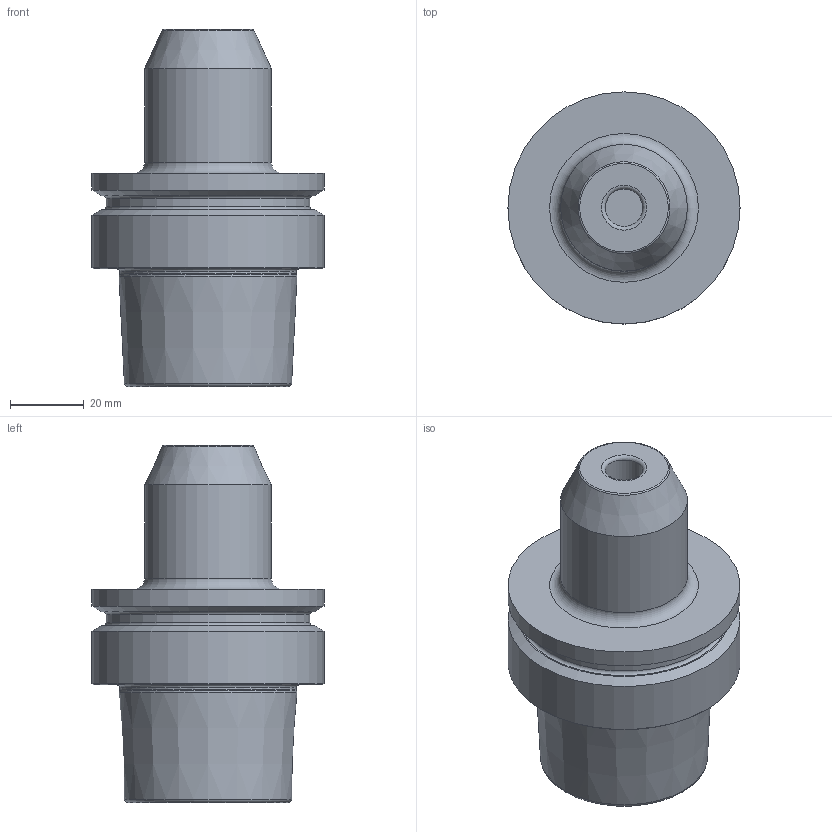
import cadquery as cq
import math

shank_length = 31.9
flange_height = 26.0
projection_length = 65.0
flange_top = shank_length + flange_height
total_length = shank_length + projection_length

shank_top_diameter = 48.3
shank_taper = 0.1
shank_tip_fillet = 1.0

neck_diameter = 47.9
neck_length = 2.1
neck_flare_height = 0.75
neck_flare_fillet = 1.0
neck_root_fillet = 0.6
corner_tolerance = 0.01

flange_diameter = 63.0
flange_bottom_chamfer = 0.3
groove_floor_diameter = 55.3
groove_center = shank_length + 18.0
groove_mouth_width = 6.8
groove_floor_width = 3.8
groove_flank_angle = 30.0
groove_fillet = 0.85

nose_diameter = 34.4
nose_tip_diameter = 24.7
nose_cone_height = 10.7
nose_root_fillet = 3.0
nose_tip_fillet = 0.5

bore_diameter = 10.2
bore_depth = total_length - flange_top
bore_mouth_fillet = 1.0


def make_shank():
    """Taper shank with a rounded tip, topped by a flare and a neck up to the flange."""
    taper_top = shank_length - neck_length
    flare_top = taper_top + neck_flare_height
    top_radius = shank_top_diameter / 2
    tip_radius = top_radius - shank_taper * taper_top / 2
    neck_radius = neck_diameter / 2
    shank = (
        cq.Workplane("XZ")
        .lineTo(tip_radius, 0)
        .lineTo(top_radius, taper_top)
        .lineTo(neck_radius, flare_top)
        .lineTo(neck_radius, shank_length - neck_root_fillet)
        .radiusArc((neck_radius + neck_root_fillet, shank_length), neck_root_fillet)
        .lineTo(0, shank_length)
        .close()
        .revolve(360, (0, 0, 0), (0, 1, 0))
    )
    flare_corner = cq.selectors.BoxSelector(
        (-top_radius, -top_radius, flare_top - corner_tolerance),
        (top_radius, top_radius, flare_top + corner_tolerance),
    )
    shank = shank.edges("%CIRCLE").edges(flare_corner).fillet(neck_flare_fillet)
    return shank.faces("<Z").edges().fillet(shank_tip_fillet)


def make_flange():
    """Flange disc with a chamfered lower rim."""
    flange = cq.Workplane("XY", origin=(0, 0, shank_length)).circle(flange_diameter / 2).extrude(flange_height)
    return flange.faces("<Z").edges().chamfer(flange_bottom_chamfer)


def make_groove_ring():
    """Ring removed by the gripper groove: sloped flanks, flat shoulders and rounded floor corners."""
    rim_radius = flange_diameter / 2
    floor_radius = groove_floor_diameter / 2
    half_mouth = groove_mouth_width / 2
    half_floor = groove_floor_width / 2
    shoulder_radius = rim_radius - (half_mouth - half_floor) / math.tan(math.radians(groove_flank_angle))
    ring = (
        cq.Workplane("XZ")
        .moveTo(rim_radius, groove_center - half_mouth)
        .lineTo(shoulder_radius, groove_center - half_floor)
        .lineTo(floor_radius, groove_center - half_floor)
        .lineTo(floor_radius, groove_center + half_floor)
        .lineTo(shoulder_radius, groove_center + half_floor)
        .lineTo(rim_radius, groove_center + half_mouth)
        .close()
        .revolve(360, (0, 0, 0), (0, 1, 0))
    )
    floor_corners = cq.selectors.RadiusNthSelector(0)
    return ring.edges("%CIRCLE").edges(floor_corners).fillet(groove_fillet)


def make_nose():
    """Cylindrical nose with a conical end and a concave fillet onto the flange."""
    radius = nose_diameter / 2
    cone_start = total_length - nose_cone_height
    fillet_quarter = nose_root_fillet * (1 - math.sqrt(0.5))
    nose = (
        cq.Workplane("XZ")
        .moveTo(0, flange_top)
        .lineTo(radius + nose_root_fillet, flange_top)
        .threePointArc(
            (radius + fillet_quarter, flange_top + fillet_quarter),
            (radius, flange_top + nose_root_fillet),
        )
        .lineTo(radius, cone_start)
        .lineTo(nose_tip_diameter / 2, total_length)
        .lineTo(0, total_length)
        .close()
        .revolve(360, (0, 0, 0), (0, 1, 0))
    )
    return nose.faces(">Z").edges().fillet(nose_tip_fillet)


def cut_bore(body):
    """Blind bore from the nose face, with a rounded mouth."""
    bore = cq.Workplane("XY", origin=(0, 0, total_length)).circle(bore_diameter / 2).extrude(-bore_depth)
    mouth = cq.selectors.RadiusNthSelector(0)
    return body.cut(bore).faces(">Z").edges(mouth).fillet(bore_mouth_fillet)


flange = make_flange().cut(make_groove_ring())
body = make_shank().union(flange).union(make_nose())
result = cut_bore(body)